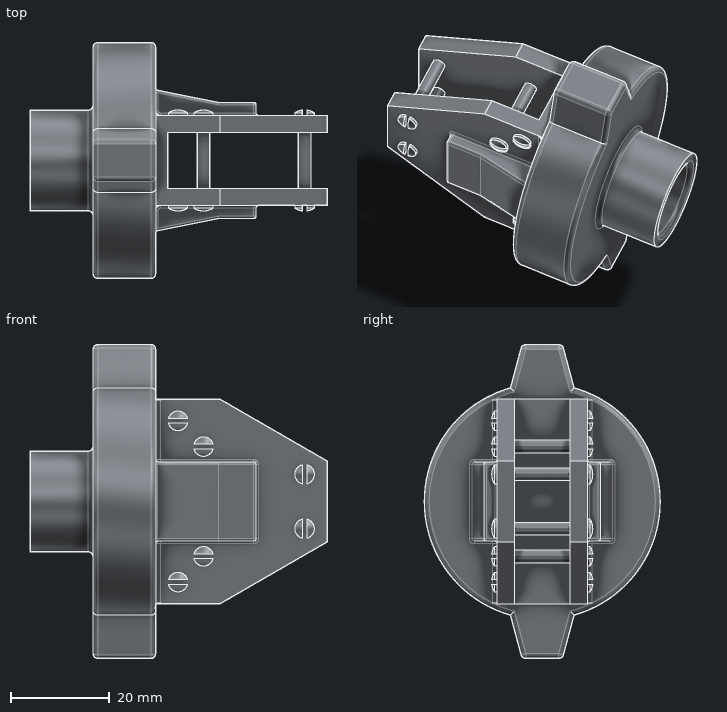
import cadquery as cq
import math


KNOB_DIAMETER = 47.75
KNOB_THICKNESS = 12.7
EAR_SPAN = 63.5
EAR_TIP_HALF_WIDTH = 4.1
EAR_TAPER_ANGLE = 15.0
KNOB_FILLET = 1.0

TUBE_LENGTH = 12.7
TUBE_DIAMETER = 20.4
BORE_DIAMETER = 15.2
TUBE_FILLET = 1.0

FORK_LENGTH = 34.7
FORK_HEIGHT = 41.4
FORK_WIDTH = 18.2
FORK_GAP = 11.3
FORK_BASE_THICKNESS = 2.45
FORK_STRAIGHT_LENGTH = 13.0
FORK_TAPER_ANGLE = 30.0
FORK_ROOT_FILLET = 1.0

PAD_LENGTH = 20.3
PAD_WIDTH = 16.05
PAD_HEIGHT = 2.65
PAD_ROOT_HEIGHT = 5.2
PAD_SLOPE_LENGTH = 12.7
PAD_FILLET = 0.5

ROD_DIAMETER = 2.6
HEAD_DIAMETER = 3.95
HEAD_RIM_HEIGHT = 0.55
HEAD_HEIGHT = 1.15
HEAD_SLOT_WIDTH = 0.95
SHORT_SCREW_X, SHORT_SCREW_Z = 4.5, 16.3
INNER_ROD_X, INNER_ROD_Z = 9.65, 11.1
OUTER_ROD_X, OUTER_ROD_Z = 30.1, 5.5

KNOB_RADIUS = KNOB_DIAMETER / 2
BACK_X = KNOB_THICKNESS
PLATE_OUTER_Y = FORK_WIDTH / 2
PAD_TOP_Y = PLATE_OUTER_Y + PAD_HEIGHT
TOLERANCE = 0.01


def make_knob():
    """Disc with an ear at the top and bottom, rounded on every edge."""
    ear_tip_z = EAR_SPAN / 2
    root_half_width = EAR_TIP_HALF_WIDTH + ear_tip_z * math.tan(math.radians(EAR_TAPER_ANGLE))
    knob = cq.Workplane("YZ").circle(KNOB_RADIUS).extrude(KNOB_THICKNESS)
    for side in (1, -1):
        ear = (
            cq.Workplane("YZ")
            .moveTo(-root_half_width, 0)
            .lineTo(-EAR_TIP_HALF_WIDTH, side * ear_tip_z)
            .lineTo(EAR_TIP_HALF_WIDTH, side * ear_tip_z)
            .lineTo(root_half_width, 0)
            .close()
            .extrude(KNOB_THICKNESS)
        )
        knob = knob.union(ear)
    tip_edges = cq.StringSyntaxSelector("|X and (>Z or <Z)")
    face_rims = cq.StringSyntaxSelector("<X or >X")
    return knob.edges(tip_edges + face_rims).fillet(KNOB_FILLET)


def add_tube(body):
    """Blind tube on the front of the knob, rounded at its root, mouth and floor."""
    outer = TUBE_DIAMETER / 2
    bore = BORE_DIAMETER / 2
    radius = TUBE_FILLET
    arc_inset = radius * (1 - math.sqrt(0.5))
    tube = (
        cq.Workplane("XY")
        .moveTo(radius, 0)
        .lineTo(radius, outer + radius)
        .lineTo(0, outer + radius)
        .threePointArc((-arc_inset, outer + arc_inset), (-radius, outer))
        .lineTo(-TUBE_LENGTH, outer)
        .lineTo(-TUBE_LENGTH, bore + radius)
        .threePointArc(
            (-TUBE_LENGTH + arc_inset, bore + arc_inset),
            (-TUBE_LENGTH + radius, bore),
        )
        .lineTo(-radius, bore)
        .threePointArc((-arc_inset, bore - arc_inset), (0, bore - radius))
        .lineTo(0, 0)
        .close()
        .revolve(360, (0, 0, 0), (1, 0, 0))
    )
    return body.union(tube)


def make_fork():
    """Tapered block slotted through along Z into two plates."""
    half_height = FORK_HEIGHT / 2
    taper_length = FORK_LENGTH - FORK_STRAIGHT_LENGTH
    tip_half_height = half_height - taper_length * math.tan(math.radians(FORK_TAPER_ANGLE))
    taper_x = BACK_X + FORK_STRAIGHT_LENGTH
    tip_x = BACK_X + FORK_LENGTH
    block = (
        cq.Workplane("XZ")
        .moveTo(BACK_X, -half_height)
        .lineTo(taper_x, -half_height)
        .lineTo(tip_x, -tip_half_height)
        .lineTo(tip_x, tip_half_height)
        .lineTo(taper_x, half_height)
        .lineTo(BACK_X, half_height)
        .close()
        .extrude(PLATE_OUTER_Y, both=True)
    )
    slot = (
        cq.Workplane("XY")
        .box(FORK_LENGTH, FORK_GAP, FORK_HEIGHT, centered=(False, True, True))
        .translate((BACK_X + FORK_BASE_THICKNESS, 0, 0))
    )
    return block.cut(slot)


def make_pad(side):
    """Pad with a sloped and a flat stretch, its exposed edges rounded."""
    root_y = PLATE_OUTER_Y + PAD_ROOT_HEIGHT
    end_x = BACK_X + PAD_LENGTH
    pad = (
        cq.Workplane("XY")
        .moveTo(BACK_X, PLATE_OUTER_Y)
        .lineTo(BACK_X, root_y)
        .lineTo(BACK_X + PAD_SLOPE_LENGTH, PAD_TOP_Y)
        .lineTo(end_x, PAD_TOP_Y)
        .lineTo(end_x, PLATE_OUTER_Y)
        .close()
        .extrude(PAD_WIDTH / 2, both=True)
    )
    pad = pad.edges("|Y and >X").fillet(PAD_FILLET)
    top_edges = cq.selectors.BoxSelector(
        (BACK_X + TOLERANCE, PAD_TOP_Y - TOLERANCE, -PAD_WIDTH),
        (end_x + TOLERANCE, root_y, PAD_WIDTH),
    )
    crease = cq.selectors.BoxSelector(
        (BACK_X + PAD_SLOPE_LENGTH - TOLERANCE, PAD_TOP_Y - TOLERANCE, -TOLERANCE),
        (BACK_X + PAD_SLOPE_LENGTH + TOLERANCE, PAD_TOP_Y + TOLERANCE, TOLERANCE),
    )
    pad = pad.edges(top_edges - crease).fillet(PAD_FILLET)
    return pad if side > 0 else pad.mirror("XZ")


def make_root_fillet(side):
    """Concave fillet between a plate and the knob, kept on the flat back of the knob."""
    radius = FORK_ROOT_FILLET
    arc_inset = radius * (1 - math.sqrt(0.5))
    flat_radius = KNOB_RADIUS - KNOB_FILLET
    half_length = math.sqrt(flat_radius**2 - (PLATE_OUTER_Y + radius) ** 2)
    fillet = (
        cq.Workplane("XY")
        .moveTo(BACK_X, PLATE_OUTER_Y)
        .lineTo(BACK_X, PLATE_OUTER_Y + radius)
        .threePointArc(
            (BACK_X + arc_inset, PLATE_OUTER_Y + arc_inset),
            (BACK_X + radius, PLATE_OUTER_Y),
        )
        .close()
        .extrude(half_length, both=True)
    )
    return fillet if side > 0 else fillet.mirror("XZ")


def round_pad_foot(body, side):
    """Concave fillet where a pad meets its plate and the knob."""
    reach_x = BACK_X + PAD_LENGTH + TOLERANCE
    reach_z = PAD_WIDTH / 2 + TOLERANCE
    plate_edges = cq.selectors.BoxSelector(
        (BACK_X, side * (PLATE_OUTER_Y - TOLERANCE), -reach_z),
        (reach_x, side * (PLATE_OUTER_Y + TOLERANCE), reach_z),
    )
    knob_edges = cq.selectors.BoxSelector(
        (BACK_X - TOLERANCE, side * PLATE_OUTER_Y, -reach_z),
        (BACK_X + FORK_ROOT_FILLET, side * (PLATE_OUTER_Y + PAD_ROOT_HEIGHT + TOLERANCE), reach_z),
    )
    return body.edges(plate_edges + knob_edges).fillet(PAD_FILLET)


def make_screw_head(x, z, side, slot_along_x):
    """Slotted head with a short cylindrical rim under a spherical dome."""
    radius = HEAD_DIAMETER / 2
    dome_height = HEAD_HEIGHT - HEAD_RIM_HEIGHT
    dome_radius = (radius**2 + dome_height**2) / (2 * dome_height)
    mid_x = radius / 2
    mid_height = HEAD_HEIGHT - dome_radius + math.sqrt(dome_radius**2 - mid_x**2)
    head = (
        cq.Workplane("XY")
        .lineTo(radius, 0)
        .lineTo(radius, HEAD_RIM_HEIGHT)
        .threePointArc((mid_x, mid_height), (0, HEAD_HEIGHT))
        .close()
        .revolve(360, (0, 0, 0), (0, 1, 0))
    )
    slot_x, slot_z = HEAD_DIAMETER, HEAD_SLOT_WIDTH
    if not slot_along_x:
        slot_x, slot_z = slot_z, slot_x
    head = head.cut(cq.Workplane("XY").box(slot_x, 2 * HEAD_HEIGHT, slot_z))
    if side < 0:
        head = head.mirror("XZ")
    return head.translate((BACK_X + x, side * PLATE_OUTER_Y, z))


def make_rod(x, z):
    """Cross rod that spans the gap and is let into both plates."""
    length = (FORK_GAP + FORK_WIDTH) / 2
    return (
        cq.Workplane("XZ", origin=(0, length / 2, 0))
        .center(BACK_X + x, z)
        .circle(ROD_DIAMETER / 2)
        .extrude(length)
    )


def add_fasteners(body):
    """Cross rods and the screw heads on both plates, mirrored above and below."""
    for z_side in (1, -1):
        body = body.union(make_rod(INNER_ROD_X, z_side * INNER_ROD_Z))
        body = body.union(make_rod(OUTER_ROD_X, z_side * OUTER_ROD_Z))
        for side in (1, -1):
            body = body.union(make_screw_head(SHORT_SCREW_X, z_side * SHORT_SCREW_Z, side, True))
            body = body.union(make_screw_head(INNER_ROD_X, z_side * INNER_ROD_Z, side, True))
            body = body.union(make_screw_head(OUTER_ROD_X, z_side * OUTER_ROD_Z, side, False))
    return body


def make_part():
    """Knob, tube, fork, pads and fasteners joined into one solid."""
    body = add_tube(make_knob()).union(make_fork())
    for side in (1, -1):
        body = body.union(make_root_fillet(side))
        body = body.union(make_pad(side))
        body = round_pad_foot(body, side)
    return add_fasteners(body)


result = make_part()